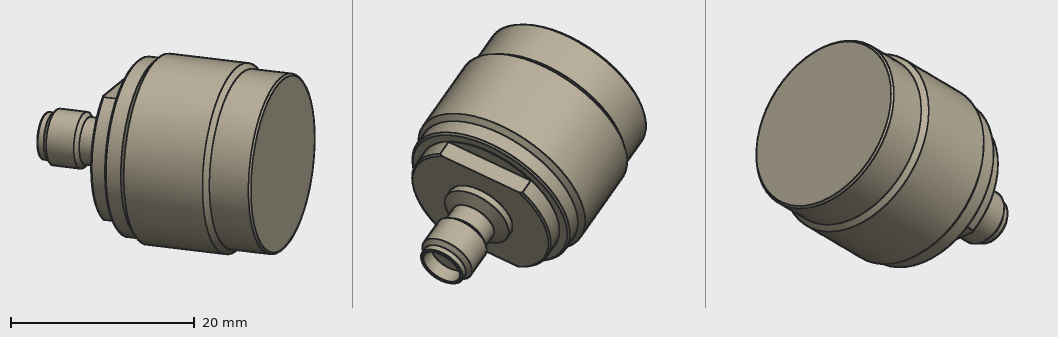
import cadquery as cq

total_length = 27.7

tip_radius = 2.63
tip_chamfer = 0.15
barrel_radius = 3.13
barrel_front = 0.8
barrel_front_taper = 0.5
barrel_end = 4.95
barrel_rear_taper = 0.45
bore_radius = 2.3
bore_depth = 1.77
bore_chamfer = 0.1

neck_end = 6.98
collar_radius = 4.02
collar_cone_length = 0.78

flange_front = 8.6
flange_radius = 8.73
flange_chamfer = 0.2
across_flats = 14.07
flat_end = 10.58

nut_front = 10.66
nut_radius = 9.92
nut_edge_chamfer = 0.22
grip_radius = 10.5
grip_front = 12.6
grip_end = 22.94
grip_chamfer = grip_radius - nut_radius

profile = [
    (0, 0),
    (0, tip_radius - tip_chamfer),
    (tip_chamfer, tip_radius),
    (barrel_front, tip_radius),
    (barrel_front + barrel_front_taper, barrel_radius),
    (barrel_end - barrel_rear_taper, barrel_radius),
    (barrel_end, tip_radius),
    (neck_end, tip_radius),
    (neck_end + collar_cone_length, collar_radius),
    (flange_front, collar_radius),
    (flange_front, flange_radius - flange_chamfer),
    (flange_front + flange_chamfer, flange_radius),
    (nut_front, flange_radius),
    (nut_front, nut_radius - nut_edge_chamfer),
    (nut_front + nut_edge_chamfer, nut_radius),
    (grip_front, nut_radius),
    (grip_front + grip_chamfer, grip_radius),
    (grip_end - grip_chamfer, grip_radius),
    (grip_end, nut_radius),
    (total_length - nut_edge_chamfer, nut_radius),
    (total_length, nut_radius - nut_edge_chamfer),
    (total_length, 0),
]

bore_profile = [
    (0, 0),
    (0, bore_radius + bore_chamfer),
    (bore_chamfer, bore_radius),
    (bore_depth, bore_radius),
    (bore_depth, 0),
]


def revolve_about_x(points):
    """Revolve a closed (axial position, radius) outline about the X axis."""
    return cq.Workplane("XY").polyline(points).close().revolve(360, (0, 0, 0), (1, 0, 0))


def flat_cutter(side):
    """Block that removes the flange beyond one wrench flat (side is +1 or -1)."""
    length = flat_end - flange_front
    height = flange_radius
    return cq.Workplane("XY").box(length, 2 * flange_radius, height).translate(
        (flange_front + length / 2, 0, side * (across_flats + height) / 2)
    )


result = revolve_about_x(profile).cut(revolve_about_x(bore_profile))
for side in (1, -1):
    result = result.cut(flat_cutter(side))